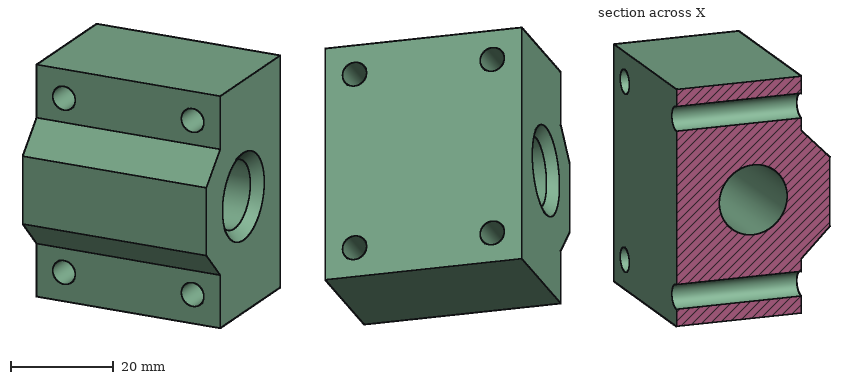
import cadquery as cq

length = 40.0
depth = 32.0
height = 48.0

nose_projection = 6.0
nose_flat_height = 14.0

bore_diameter = 14.0
bore_chamfer = 2.0

mount_hole_diameter = 4.9
mount_spacing_x = 28.0
mount_spacing_z = 36.0

back_y = depth / 2
nose_y = -depth / 2
shoulder_y = nose_y + nose_projection
top_z = height / 2
nose_flat_z = nose_flat_height / 2
nose_root_z = nose_flat_z + nose_projection


def make_body():
    """Extrude the block and nose profile along X, centred on the origin."""
    profile = [
        (back_y, -top_z),
        (back_y, top_z),
        (shoulder_y, top_z),
        (shoulder_y, nose_root_z),
        (nose_y, nose_flat_z),
        (nose_y, -nose_flat_z),
        (shoulder_y, -nose_root_z),
        (shoulder_y, -top_z),
    ]
    return cq.Workplane("YZ").polyline(profile).close().extrude(length / 2, both=True)


def make_bore():
    """Through bore with a cone widening towards each end face."""
    end_x = length / 2
    bore_radius = bore_diameter / 2
    mouth_radius = bore_radius + bore_chamfer
    half_section = [
        (-end_x, 0),
        (-end_x, mouth_radius),
        (-end_x + bore_chamfer, bore_radius),
        (end_x - bore_chamfer, bore_radius),
        (end_x, mouth_radius),
        (end_x, 0),
    ]
    return cq.Workplane("XY").polyline(half_section).close().revolve(360, (0, 0, 0), (1, 0, 0))


def make_mount_holes():
    """Four cylinders passing through the full depth."""
    return (
        cq.Workplane("XZ")
        .rarray(mount_spacing_x, mount_spacing_z, 2, 2)
        .circle(mount_hole_diameter / 2)
        .extrude(depth / 2, both=True)
    )


result = make_body().cut(make_bore()).cut(make_mount_holes())